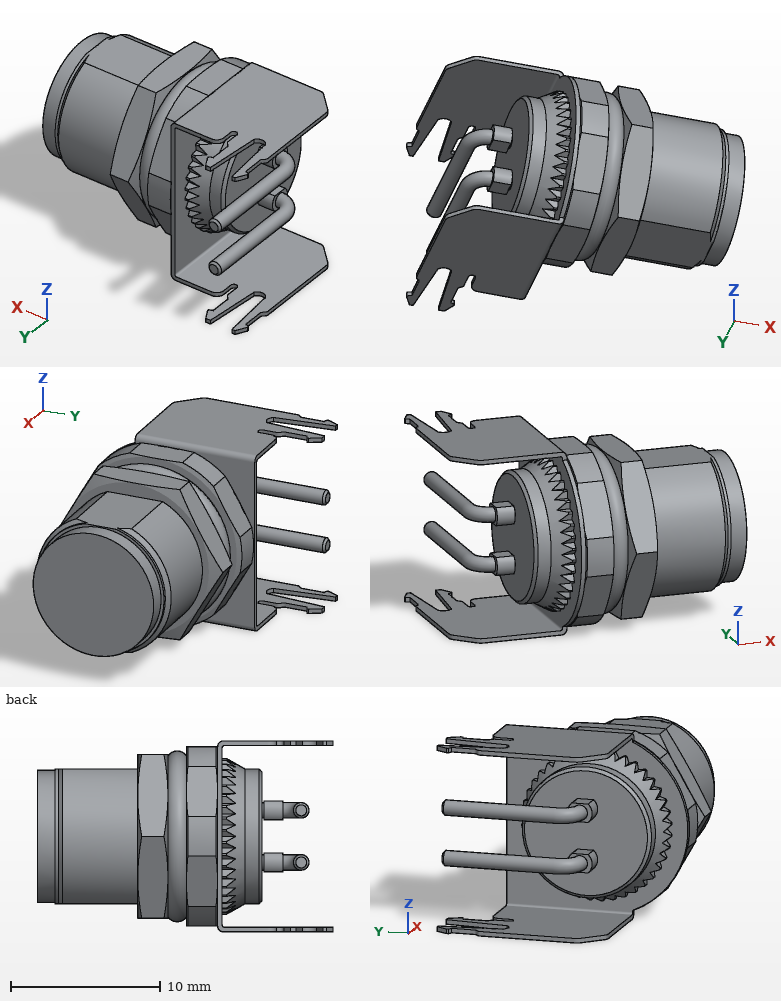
import cadquery as cq
import math


rear_face_x = 4.75
collar_x = 3.37
collar_length = 1.27
rear_cylinder_end_x = 5.9
knurl_cone_end_x = 7.15
bracket_face_x = 7.75
flange_end_x = 9.82
hex_nut_start_x = 11.05
hex_nut_end_x = 13.09
thread_chamfer_x = 18.1
thread_relief_x = 18.4
thread_end_x = 18.61
tip_x = 19.8

rear_radius = 4.51
rear_chamfer = 0.22
thread_radius = 4.95
thread_flat_z = 4.51
relief_radius = 4.65
tip_radius = 4.44

knurl_radius = 5.23
knurl_root_radius = 4.87
knurl_teeth = 40

flange_radius = 6.32
flange_across_flats = 12.02
flange_chamfer_length = 0.1
flange_chamfer_depth = 0.32
seal_radius = 0.75
seal_outer_radius = 5.72
nut_across_flats = 10.97
nut_face_radius = 5.45
nut_chamfer_length = 0.28

sheet = 0.32
bracket_half_height = 6.4
outer_bend_radius = 0.4
inner_bend_radius = 0.15
wing_top_y = 6.35
wing_bottom_y = -2.45
wing_corner_chamfer = 1.58
wing_corner_fillet = 0.6
clip_width = 3.3
clip_top_y = 9.09
clip_neck_inset = 0.3
clip_neck_bottom_y = 6.34
clip_shoulder_y = 6.08
clip_shoulder_fillet = 0.24
barb_tip_y = 8.15
barb_land = 0.14
barb_base_y = 8.04
barb_top_inset = 0.44
spring_slot_x = 1.58
spring_slot_top_half = 0.9
spring_slot_bottom_half = 0.48
spring_slot_side_y = 4.71
spring_slot_bottom_y = 4.45
relief_slot_width = 0.5
relief_slot_bottom_y = 4.71
relief_slot_corner = 0.6

pin_radius = 0.525
pin_z = 1.75
pin_x = 2.14
pin_top_y = 9.17
pin_bend_radius = 1.3
pin_tip_chamfer = 0.15
collar_radius = 0.85
collar_half_thickness = 0.63


def disc(start_x, end_x, radius):
    return cq.Workplane("YZ").workplane(offset=start_x).circle(radius).extrude(end_x - start_x)


def revolve_about_x(points):
    """Revolve a closed (x, radius) outline about the connector axis."""
    return cq.Workplane("XY").polyline(points).close().revolve(360, (0, 0, 0), (1, 0, 0))


def chamfered_disc(start_x, end_x, radius, face_radius, chamfer_length):
    return revolve_about_x([
        (start_x, 0),
        (start_x, face_radius),
        (start_x + chamfer_length, radius),
        (end_x - chamfer_length, radius),
        (end_x, face_radius),
        (end_x, 0),
    ])


def hexagon_corner_radius(across_flats):
    return across_flats / 2 / math.cos(math.pi / 6)


def hex_prism(start_x, end_x, across_flats):
    """Hexagonal prism along X with two flats facing +Z and -Z."""
    return (
        cq.Workplane("YZ")
        .workplane(offset=start_x)
        .polygon(6, 2 * hexagon_corner_radius(across_flats))
        .extrude(end_x - start_x)
    )


def knurled_rear():
    body = revolve_about_x([
        (rear_face_x, 0),
        (rear_face_x, rear_radius - rear_chamfer),
        (rear_face_x + rear_chamfer, rear_radius),
        (rear_cylinder_end_x, rear_radius),
        (knurl_cone_end_x, knurl_radius),
        (bracket_face_x - sheet, knurl_radius),
        (bracket_face_x - sheet, 0),
    ])
    groove_depth = 2 * (knurl_radius - knurl_root_radius)
    groove = (
        cq.Workplane("YZ")
        .workplane(offset=rear_face_x)
        .moveTo(knurl_root_radius, 0)
        .lineTo(knurl_root_radius + groove_depth, groove_depth)
        .lineTo(knurl_root_radius + groove_depth, -groove_depth)
        .close()
        .extrude(bracket_face_x - sheet - rear_face_x)
        .val()
    )
    grooves = [
        groove.rotate((0, 0, 0), (1, 0, 0), tooth * 360 / knurl_teeth)
        for tooth in range(knurl_teeth)
    ]
    return body.cut(cq.Compound.makeCompound(grooves))


def flange():
    blank = chamfered_disc(
        bracket_face_x, flange_end_x, flange_radius,
        flange_radius - flange_chamfer_depth, flange_chamfer_length,
    )
    return blank.intersect(hex_prism(bracket_face_x, flange_end_x, flange_across_flats))


def seal_ring():
    middle_x = (flange_end_x + hex_nut_start_x) / 2
    ring_radius = seal_outer_radius - seal_radius
    return (
        cq.Workplane("XY")
        .center(middle_x, ring_radius)
        .circle(seal_radius)
        .revolve(360, (0, -ring_radius, 0), (1, -ring_radius, 0))
    )


def hex_nut():
    corner_radius = hexagon_corner_radius(nut_across_flats)
    blank = chamfered_disc(
        hex_nut_start_x, hex_nut_end_x, corner_radius, nut_face_radius, nut_chamfer_length
    )
    return blank.intersect(hex_prism(hex_nut_start_x, hex_nut_end_x, nut_across_flats))


def threaded_barrel():
    barrel = revolve_about_x([
        (bracket_face_x, 0),
        (bracket_face_x, thread_radius),
        (thread_chamfer_x, thread_radius),
        (thread_relief_x, relief_radius),
        (thread_end_x, relief_radius),
        (thread_end_x, 0),
    ])
    flats = cq.Workplane("XY").box(3 * tip_x, 3 * thread_radius, 2 * thread_flat_z)
    return barrel.intersect(flats).union(disc(thread_end_x, tip_x, tip_radius))


def wing_outline():
    """Side wing of the bracket, with a split spring clip on its +Y edge."""
    relief_slot_end_x = clip_width + relief_slot_width
    slot_radius = relief_slot_width / 2
    far_neck_x = clip_width - clip_neck_inset
    return (
        cq.Workplane("XY")
        .moveTo(bracket_face_x, wing_bottom_y)
        .lineTo(wing_corner_chamfer, wing_bottom_y)
        .lineTo(0, wing_bottom_y + wing_corner_chamfer)
        .lineTo(0, clip_shoulder_y)
        .lineTo(clip_neck_inset, clip_neck_bottom_y)
        .lineTo(clip_neck_inset, barb_base_y)
        .lineTo(0, barb_tip_y)
        .lineTo(0, barb_tip_y + barb_land)
        .lineTo(barb_top_inset, clip_top_y)
        .lineTo(spring_slot_x - spring_slot_top_half, clip_top_y)
        .lineTo(spring_slot_x - spring_slot_bottom_half, spring_slot_side_y)
        .threePointArc(
            (spring_slot_x, spring_slot_bottom_y),
            (spring_slot_x + spring_slot_bottom_half, spring_slot_side_y),
        )
        .lineTo(spring_slot_x + spring_slot_top_half, clip_top_y)
        .lineTo(clip_width - barb_top_inset, clip_top_y)
        .lineTo(clip_width, barb_tip_y + barb_land)
        .lineTo(clip_width, barb_tip_y)
        .lineTo(far_neck_x, barb_base_y)
        .lineTo(far_neck_x, clip_neck_bottom_y)
        .lineTo(clip_width, clip_shoulder_y)
        .lineTo(clip_width, relief_slot_bottom_y + slot_radius)
        .threePointArc(
            (clip_width + slot_radius, relief_slot_bottom_y),
            (relief_slot_end_x, relief_slot_bottom_y + slot_radius),
        )
        .lineTo(relief_slot_end_x, wing_top_y - relief_slot_corner)
        .radiusArc((relief_slot_end_x + relief_slot_corner, wing_top_y), relief_slot_corner)
        .lineTo(bracket_face_x, wing_top_y)
        .close()
    )


def fillet_upright_edges(solid, radius, corners):
    """Round the edges parallel to Z that pass through the given (x, y) corners."""
    for x, y in corners:
        solid = solid.edges(cq.selectors.NearestToPointSelector((x, y, 0))).fillet(radius)
    return solid


def wing_block():
    block = wing_outline().extrude(bracket_half_height, both=True)
    block = fillet_upright_edges(block, wing_corner_fillet, [
        (0, wing_bottom_y + wing_corner_chamfer),
        (wing_corner_chamfer, wing_bottom_y),
    ])
    return fillet_upright_edges(block, clip_shoulder_fillet, [
        (0, clip_shoulder_y),
        (clip_neck_inset, clip_neck_bottom_y),
        (clip_width - clip_neck_inset, clip_neck_bottom_y),
        (clip_width, clip_shoulder_y),
    ])


def bracket():
    outer = (
        cq.Workplane("XY")
        .box(2 * bracket_face_x, 4 * wing_top_y, 2 * bracket_half_height)
        .edges("|Y and >X")
        .fillet(outer_bend_radius)
    )
    inner = (
        cq.Workplane("XY")
        .box(2 * (bracket_face_x - sheet), 4 * wing_top_y, 2 * (bracket_half_height - sheet))
        .edges("|Y and >X")
        .fillet(inner_bend_radius)
    )
    bent_sheet = outer.cut(inner)
    rounded_wall = disc(bracket_face_x - sheet, bracket_face_x, flange_radius)
    return wing_block().union(rounded_wall).intersect(bent_sheet)


def pin(z):
    tube = (
        cq.Workplane("XZ", origin=(pin_x, pin_top_y, z))
        .circle(pin_radius)
        .extrude(pin_top_y - pin_bend_radius)
        .faces(">Y")
        .chamfer(pin_tip_chamfer)
    )
    bend = (
        cq.Workplane("XZ", origin=(pin_x, pin_bend_radius, z))
        .circle(pin_radius)
        .revolve(90, (pin_bend_radius, 0, 0), (pin_bend_radius, 1, 0))
    )
    stem_start_x = pin_x + pin_bend_radius
    stem = disc(stem_start_x, rear_face_x, pin_radius)
    collar_flats = cq.Workplane("XY").box(2 * tip_x, 4 * collar_radius, 2 * collar_half_thickness)
    collar = disc(collar_x, collar_x + collar_length, collar_radius).intersect(collar_flats)
    return tube.union(bend).union(stem.union(collar).translate((0, 0, z)))


result = (
    threaded_barrel()
    .union(flange())
    .union(seal_ring())
    .union(hex_nut())
    .union(bracket())
    .union(knurled_rear())
)
for z in (-pin_z, pin_z):
    result = result.union(pin(z))